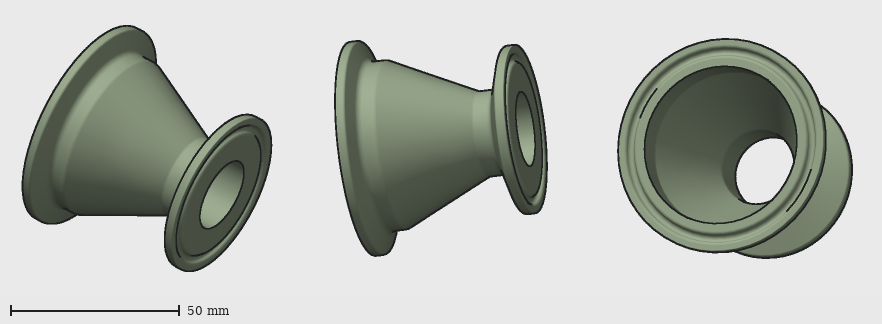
import cadquery as cq
import math

length = 50.0
wall = 1.65

large_flange_radius = 32.0
large_tube_radius = 25.35
small_flange_radius = 25.2
small_tube_radius = 12.8

rim_thickness = 2.9
clamp_angle = math.radians(20)
face_edge_radius = 0.25
clamp_edge_radius = 0.8
neck_radius = 2.0

cone_start = 10.5
cone_end = 37.25
large_bend_radius = 2.0
small_bend_outer = 1.6
small_bend_inner = small_bend_outer + wall

groove_inset = 3.85
groove_half_width = 1.35
groove_flank_angle = math.radians(70)
groove_bottom_radius = 1.15
groove_lip_radius = 1.0


def unit_vector(start, end):
    distance = math.dist(start, end)
    return (end[0] - start[0]) / distance, (end[1] - start[1]) / distance


def rounded_outline(corners):
    """Closed wire through (x, y, corner radius) entries; radius 0 keeps a sharp corner."""
    arcs = []
    for i, (x, y, radius) in enumerate(corners):
        if radius == 0:
            arcs.append([(x, y)])
            continue
        back = unit_vector((x, y), corners[i - 1][:2])
        ahead = unit_vector((x, y), corners[(i + 1) % len(corners)][:2])
        half_angle = math.acos(back[0] * ahead[0] + back[1] * ahead[1]) / 2
        setback = radius / math.tan(half_angle)
        bisector = unit_vector((0, 0), (back[0] + ahead[0], back[1] + ahead[1]))
        apex_gap = radius / math.sin(half_angle) - radius
        arcs.append([
            (x + setback * back[0], y + setback * back[1]),
            (x + apex_gap * bisector[0], y + apex_gap * bisector[1]),
            (x + setback * ahead[0], y + setback * ahead[1]),
        ])
    outline = cq.Workplane("XY").moveTo(*arcs[0][-1])
    for arc in arcs[1:]:
        outline = outline.lineTo(*arc[0])
        if len(arc) > 1:
            outline = outline.threePointArc(arc[1], arc[2])
    return outline.close()


def ferrule_corners(face_x, inward, flange_radius, tube_radius):
    """Corners from the bore edge, across the grooved face, over the rim to the neck."""
    groove_center = flange_radius - groove_inset
    groove_apex = groove_half_width * math.tan(groove_flank_angle)
    neck_depth = rim_thickness + (flange_radius - tube_radius) * math.tan(clamp_angle)
    return [
        (face_x, tube_radius - wall, 0),
        (face_x, groove_center - groove_half_width, groove_lip_radius),
        (face_x + inward * groove_apex, groove_center, groove_bottom_radius),
        (face_x, groove_center + groove_half_width, groove_lip_radius),
        (face_x, flange_radius, face_edge_radius),
        (face_x + inward * rim_thickness, flange_radius, clamp_edge_radius),
        (face_x + inward * neck_depth, tube_radius, neck_radius),
    ]


cone_angle = math.atan2(large_tube_radius - small_tube_radius, cone_end - cone_start)
bore_shift = wall * math.tan(cone_angle / 2)

outer_cone = [
    (cone_start, large_tube_radius, large_bend_radius),
    (cone_end, small_tube_radius, small_bend_outer),
]
inner_cone = [
    (cone_end - bore_shift, small_tube_radius - wall, small_bend_inner),
    (cone_start - bore_shift, large_tube_radius - wall, large_bend_radius),
]
large_ferrule = ferrule_corners(0, 1, large_flange_radius, large_tube_radius)
small_ferrule = ferrule_corners(length, -1, small_flange_radius, small_tube_radius)

profile = rounded_outline(large_ferrule + outer_cone + small_ferrule[::-1] + inner_cone)
result = profile.revolve(360, (0, 0, 0), (1, 0, 0))